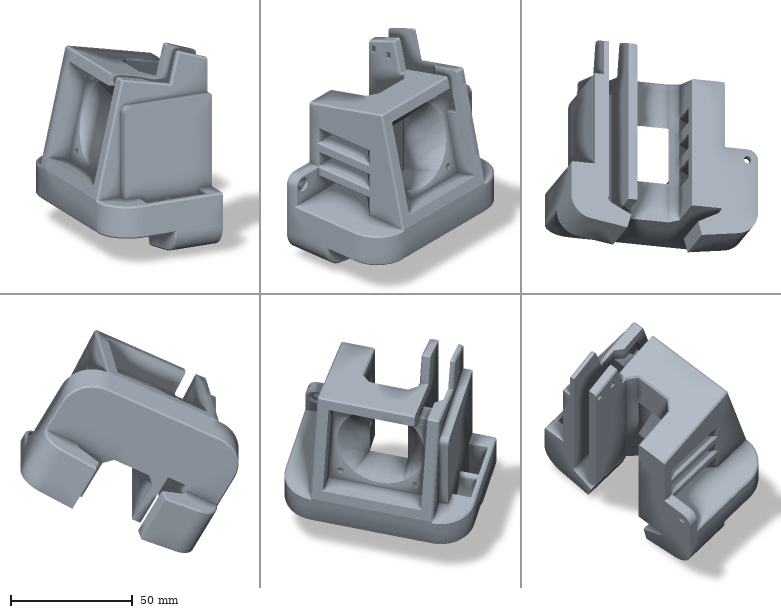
import cadquery as cq
import math


EDGE = 0.7
OVERLAP = 1.7
CLEAR = 4.3
TILT = 13.0
TILT_TAN = math.tan(math.radians(TILT))

BASE_WIDTH = 80.0
BASE_DEPTH = 51.0
BASE_HEIGHT = 14.0
TOWER_WIDTH = 51.8
BASE_HALF = BASE_WIDTH / 2
TOWER_HALF = TOWER_WIDTH / 2
BASE_CORNER_RADIUS = BASE_HALF - TOWER_HALF

ROOF_BACK_Z = 55.45
ROOF_FRONT_Y = ((ROOF_BACK_Z - BASE_HEIGHT) * TILT_TAN - BASE_DEPTH) / (1 + TILT_TAN ** 2)
ROOF_FRONT_Z = ROOF_BACK_Z - ROOF_FRONT_Y * TILT_TAN

FAN_SIZE = 41.7
FAN_DEPTH = 10.0
FAN_LIP_Z = 39.1
FAN_BORE = 37.0
FAN_HOLE = 2.7
FAN_HOLE_PITCH = 31.95
FAN_HOLE_DEPTH = 5.1
NOTCH_FRONT = 4.45
NOTCH_FLOOR = 6.75

CHANNEL_HALF = 11.6
CHANNEL_DEPTH = 22.05
CHANNEL_CORNER = 3.6
DUCT_BOTTOM_Z = 16.75
DUCT_TOP_Z = 41.0
DUCT_CREASE_ANGLE = 52.0

BAY_LEFT = 15.5
BAY_RIGHT = 23.8
BAY_DEPTH = 24.8
BAY_FLOOR_Z = 54.5

EAR_BACK_Z = 68.3
EAR_SLOPE = 20.0
EAR_FRONT_Y = -13.3
EAR_FRONT_BULGE = 0.25
EAR_ROOT_Z = 51.3
EAR_SOCKET_WIDTH = 2.3
EAR_SOCKET_DEPTH = 1.5
EAR_SOCKET_HEIGHT = 3.4
EAR_SOCKET_Z = 65.1
EAR_SOCKET_YS = (-2.4, -10.4)

VENT_SPANS = ((BASE_HEIGHT, 22.1), (26.9, 33.2), (38.2, 44.5))
VENT_BACK_Y = -4.9
VENT_FRONT_Y = -32.8

TAB_THICKNESS = 4.9
TAB_TOP_Z = 27.0
TAB_CORNER_RADIUS = 4.6
TAB_HOLE = 3.1
TAB_COUNTERBORE = 6.2
TAB_COUNTERBORE_DEPTH = 1.7
TAB_HOLE_INSET = 4.5

RIB_OUTER_X = 29.8
RIB_DEPTH = 40.1
RIB_TOP_Z = 53.65
RIB_RADIUS = 2.7

HOOK_DEPTH = 22.0
HOOK_RADIUS = 10.1
HOOK_TIP_BOTTOM = (16.0, -12.6)
HOOK_TIP_TOP = (14.35, -6.75)
HOOK_THROAT = (24.35, -1.5)
HOOK_THROAT_RADIUS = 3.0
HOOK_CORNER_Z = -8.9

POCKET_BACK_Y = -6.15
POCKET_FRONT_Y = -34.0
POCKET_FLOOR_Z = 3.4
SCOOP_RADIUS = 7.6
SCOOP_OUTER_X = 37.9
RAMP_START_Y = -28.9
RAMP_CREST_Y = -19.9


def box(x0, x1, y0, y1, z0, z1):
    return cq.Workplane("XY").box(x1 - x0, y1 - y0, z1 - z0, centered=False).translate((x0, y0, z0))


def side_extrude(points, x0, x1):
    """Extrude a closed (y, z) outline from x0 to x1."""
    return cq.Workplane("YZ", origin=(x0, 0, 0)).polyline(points).close().extrude(x1 - x0)


def edges_inside(body, low, high):
    """Edges whose centre lies in the box between two corners."""
    return body.edges(cq.selectors.BoxSelector(low, high))


def channel_cutter():
    inner = CHANNEL_HALF - CHANNEL_CORNER
    shoulder_y = CHANNEL_CORNER - CHANNEL_DEPTH
    outline = [
        (-CHANNEL_HALF, CLEAR),
        (-CHANNEL_HALF, shoulder_y),
        (-inner, -CHANNEL_DEPTH),
        (inner, -CHANNEL_DEPTH),
        (CHANNEL_HALF, shoulder_y),
        (CHANNEL_HALF, CLEAR),
    ]
    start = cq.Workplane("XY").workplane(offset=-CLEAR)
    return start.polyline(outline).close().extrude(ROOF_FRONT_Z + 2 * CLEAR)


def tower():
    foot_z = BASE_HEIGHT - OVERLAP
    outline = [
        (0, foot_z),
        (0, ROOF_BACK_Z),
        (ROOF_FRONT_Y, ROOF_FRONT_Z),
        (-BASE_DEPTH, BASE_HEIGHT),
        (-BASE_DEPTH, foot_z),
    ]
    body = side_extrude(outline, -TOWER_HALF, TOWER_HALF)
    above_base = BASE_HEIGHT + EDGE
    low = (-TOWER_HALF - CLEAR, -BASE_DEPTH, above_base)
    body = edges_inside(body, low, (TOWER_HALF + CLEAR, -EDGE, ROOF_FRONT_Z + CLEAR)).chamfer(EDGE)
    body = body.cut(channel_cutter())
    rim_low = (-CHANNEL_HALF - EDGE, -CHANNEL_DEPTH - EDGE, ROOF_BACK_Z - CLEAR)
    return edges_inside(body, rim_low, (CHANNEL_HALF + EDGE, -EDGE, ROOF_FRONT_Z)).chamfer(EDGE)


def vent_cutter(bottom, top):
    """Vent from the left side into the channel, with a 45 degree front wall and a flared mouth."""
    inner_x = -CHANNEL_HALF + EDGE
    run = inner_x + TOWER_HALF
    outline = [
        (-TOWER_HALF, VENT_BACK_Y),
        (inner_x, VENT_BACK_Y),
        (inner_x, VENT_FRONT_Y + run),
        (-TOWER_HALF, VENT_FRONT_Y),
    ]
    passage = cq.Workplane("XY").workplane(offset=bottom).polyline(outline).close().extrude(top - bottom)
    length = VENT_BACK_Y - VENT_FRONT_Y
    mouth = (
        cq.Workplane("YZ", origin=(-TOWER_HALF, (VENT_BACK_Y + VENT_FRONT_Y + EDGE) / 2, (bottom + top) / 2))
        .rect(length + EDGE, top - bottom + 2 * EDGE)
        .workplane(offset=EDGE)
        .rect(length - EDGE, top - bottom)
        .loft(ruled=True)
    )
    return passage.union(mouth)


def base():
    body = box(-BASE_HALF, BASE_HALF, -BASE_DEPTH, 0, 0, BASE_HEIGHT)
    body = body.edges("|Z and <Y").fillet(BASE_CORNER_RADIUS)
    return body.faces("<Z or >Z").edges("not >Y").chamfer(EDGE)


def tab():
    body = box(-BASE_HALF, -TOWER_HALF + OVERLAP, -TAB_THICKNESS, 0, OVERLAP, TAB_TOP_Z)
    body = body.edges("|Y and <X and >Z").fillet(TAB_CORNER_RADIUS)
    rim_low = (-BASE_HALF - EDGE, -TAB_THICKNESS - EDGE, BASE_HEIGHT / 2)
    rim = edges_inside(body, rim_low, (-TOWER_HALF, -TAB_THICKNESS + EDGE, TAB_TOP_Z + EDGE))
    body = rim.chamfer(EDGE)
    hole_x = -BASE_HALF + TAB_HOLE_INSET
    front = cq.Workplane("XZ", origin=(hole_x, -TAB_THICKNESS, TAB_TOP_Z - TAB_HOLE_INSET))
    body = body.cut(front.circle(TAB_HOLE / 2).extrude(-TAB_THICKNESS))
    return body.cut(front.circle(TAB_COUNTERBORE / 2).extrude(-TAB_COUNTERBORE_DEPTH))


def rib():
    body = box(TOWER_HALF - OVERLAP, RIB_OUTER_X, -RIB_DEPTH, 0, BASE_HEIGHT - OVERLAP, RIB_TOP_Z)
    return body.edges("|X and <Y and >Z").fillet(RIB_RADIUS)


def hook():
    body = (
        cq.Workplane("XZ")
        .moveTo(BASE_HALF, OVERLAP)
        .lineTo(BASE_HALF, HOOK_CORNER_Z)
        .lineTo(*HOOK_TIP_BOTTOM)
        .lineTo(*HOOK_TIP_TOP)
        .lineTo(*HOOK_THROAT)
        .lineTo(HOOK_THROAT[0], OVERLAP)
        .close()
        .extrude(HOOK_DEPTH)
    )
    mid_y = -HOOK_DEPTH / 2
    corner = cq.selectors.NearestToPointSelector((BASE_HALF, mid_y, HOOK_CORNER_Z))
    body = body.edges(corner).fillet(HOOK_RADIUS)
    throat = cq.selectors.NearestToPointSelector((HOOK_THROAT[0], mid_y, HOOK_THROAT[1]))
    body = body.edges(throat).fillet(HOOK_THROAT_RADIUS)
    return body.faces("<Y").edges("not >Z").chamfer(EDGE)


def ears():
    """One block as wide as both ears; the cable bay later splits it."""
    peak_z = EAR_BACK_Z - EAR_FRONT_Y * math.tan(math.radians(EAR_SLOPE))
    root_y = EAR_FRONT_Y - (peak_z - EAR_ROOT_Z) * TILT_TAN
    body = (
        cq.Workplane("YZ", origin=(CHANNEL_HALF, 0, 0))
        .moveTo(0, EAR_ROOT_Z)
        .lineTo(0, EAR_BACK_Z)
        .lineTo(EAR_FRONT_Y, peak_z)
        .sagittaArc((root_y, EAR_ROOT_Z), -EAR_FRONT_BULGE)
        .close()
        .extrude(TOWER_HALF - CHANNEL_HALF)
    )
    low = (0, root_y, EAR_ROOT_Z + EDGE)
    body = edges_inside(body, low, (TOWER_HALF + EDGE, -EDGE, peak_z + EDGE)).chamfer(EDGE)
    for y in EAR_SOCKET_YS:
        socket = cq.Workplane("XY").box(2 * EAR_SOCKET_DEPTH, EAR_SOCKET_WIDTH, EAR_SOCKET_HEIGHT)
        body = body.cut(socket.translate((CHANNEL_HALF, y, EAR_SOCKET_Z)))
    return body


def cable_bay_cutter():
    shaft = box(BAY_LEFT, BAY_RIGHT, -BAY_DEPTH, CLEAR, 0, BAY_FLOOR_Z + OVERLAP)
    seat_side = FAN_SIZE / 2
    outline = [
        (BAY_LEFT, CLEAR),
        (BAY_RIGHT, CLEAR),
        (BAY_RIGHT, -BAY_DEPTH),
        (seat_side, -BAY_DEPTH - (BAY_RIGHT - seat_side)),
        (seat_side, -BASE_DEPTH),
        (BAY_LEFT, -BASE_DEPTH),
    ]
    start = cq.Workplane("XY").workplane(offset=BAY_FLOOR_Z)
    return shaft.union(start.polyline(outline).close().extrude(EAR_BACK_Z))


def with_fan_seat(body):
    """Cut the square seat, cable notch, screw holes and the duct from the fan bore to the channel."""
    lip_y = -BASE_DEPTH + (FAN_LIP_Z - BASE_HEIGHT) * TILT_TAN
    lean = math.radians(TILT)
    inward = (0, math.cos(lean), -math.sin(lean))
    face = cq.Workplane(cq.Plane((0, lip_y, FAN_LIP_Z), xDir=(1, 0, 0), normal=inward))
    seat = face.workplane(offset=-OVERLAP).rect(FAN_SIZE, FAN_SIZE).extrude(FAN_DEPTH + OVERLAP)
    half = FAN_SIZE / 2
    notch = (
        face.workplane(offset=NOTCH_FRONT)
        .center((half + BAY_RIGHT) / 2, -(half + NOTCH_FLOOR) / 2)
        .rect(BAY_RIGHT - half, half - NOTCH_FLOOR)
        .extrude(FAN_DEPTH - NOTCH_FRONT)
    )
    floor = face.workplane(offset=FAN_DEPTH)
    holes = floor.rect(FAN_HOLE_PITCH, FAN_HOLE_PITCH, forConstruction=True).vertices()
    holes = holes.circle(FAN_HOLE / 2).extrude(FAN_HOLE_DEPTH)
    bore = floor.transformed(rotate=(0, 0, -DUCT_CREASE_ANGLE)).circle(FAN_BORE / 2).wires().val()
    outlet = cq.Workplane("XZ", origin=(0, -CHANNEL_DEPTH, (DUCT_BOTTOM_Z + DUCT_TOP_Z) / 2))
    outlet = outlet.rect(2 * (CHANNEL_HALF - CHANNEL_CORNER), DUCT_TOP_Z - DUCT_BOTTOM_Z).wires().val()
    duct = cq.Workplane(cq.Solid.makeLoft([bore, outlet], True))
    return body.cut(seat.union(notch)).cut(holes).cut(duct)


def pocket_cutter():
    """Scoop that follows the hook's outer curve, with a curved ramp up to a crest in front of it."""
    center_x = SCOOP_OUTER_X - SCOOP_RADIUS
    above = BASE_HEIGHT + CLEAR
    scoop = (
        cq.Workplane("XZ", origin=(0, POCKET_BACK_Y, 0))
        .moveTo(RIB_OUTER_X, above)
        .lineTo(RIB_OUTER_X, -SCOOP_RADIUS)
        .lineTo(center_x, -SCOOP_RADIUS)
        .radiusArc((SCOOP_OUTER_X, 0), -SCOOP_RADIUS)
        .lineTo(SCOOP_OUTER_X, above)
        .close()
        .extrude(POCKET_BACK_Y - RAMP_CREST_Y)
    )
    rise = -HOOK_DEPTH - RAMP_START_Y
    crest = RAMP_CREST_Y + HOOK_DEPTH
    ramp = (
        cq.Workplane("YZ", origin=(RIB_OUTER_X, 0, 0))
        .moveTo(POCKET_FRONT_Y, above)
        .lineTo(POCKET_FRONT_Y, POCKET_FLOOR_Z)
        .lineTo(RAMP_START_Y, POCKET_FLOOR_Z)
        .radiusArc((-HOOK_DEPTH, POCKET_FLOOR_Z + rise), -rise)
        .radiusArc((RAMP_CREST_Y, POCKET_FLOOR_Z + rise + crest), crest)
        .lineTo(RAMP_CREST_Y, above)
        .close()
        .extrude(SCOOP_OUTER_X - RIB_OUTER_X)
    )
    return scoop.union(ramp)


body = tower()
for vent_bottom, vent_top in VENT_SPANS:
    body = body.cut(vent_cutter(vent_bottom, vent_top))
body = body.union(base()).union(tab()).union(rib())
body = body.cut(channel_cutter()).union(ears())
body = body.cut(cable_bay_cutter())
body = with_fan_seat(body)
right_hook = hook()
body = body.union(right_hook).union(right_hook.mirror("YZ"))
result = body.cut(pocket_cutter())